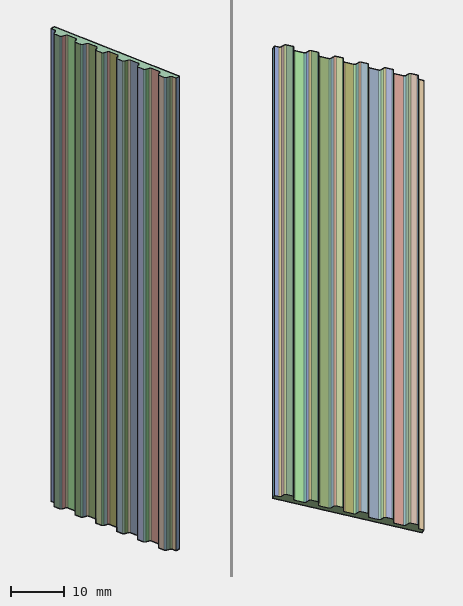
import cadquery as cq
import math

tooth_count = 6
pitch = 5.0
belt_width = 100.0
total_thickness = 2.2
tooth_height = 1.2
root_width = 2.65
flank_angle = 20.0
edge_radius = 0.4

belt_length = tooth_count * pitch
back_y = total_thickness / 2
tip_y = -total_thickness / 2
root_y = tip_y + tooth_height
tip_width = root_width - 2 * tooth_height * math.tan(math.radians(flank_angle))


def tooth_points(center_x):
    """Corners of one trapezoidal tooth, from left root to right root."""
    return [
        (center_x - root_width / 2, root_y),
        (center_x - tip_width / 2, tip_y),
        (center_x + tip_width / 2, tip_y),
        (center_x + root_width / 2, root_y),
    ]


tooth_corners = []
for index in range(tooth_count):
    tooth_center = -belt_length / 2 + (index + 0.5) * pitch
    tooth_corners += tooth_points(tooth_center)

outline = [(-belt_length / 2, back_y), (-belt_length / 2, root_y)]
outline += tooth_corners
outline += [(belt_length / 2, root_y), (belt_length / 2, back_y)]

belt = (
    cq.Workplane("XY")
    .polyline(outline)
    .close()
    .extrude(belt_width / 2, both=True)
)

end_margin = (pitch - root_width) / 4
tooth_zone = cq.selectors.BoxSelector(
    (-belt_length / 2 + end_margin, tip_y - edge_radius, -belt_width),
    (belt_length / 2 - end_margin, root_y + edge_radius, belt_width),
)
result = belt.edges("|Z").edges(tooth_zone).fillet(edge_radius)